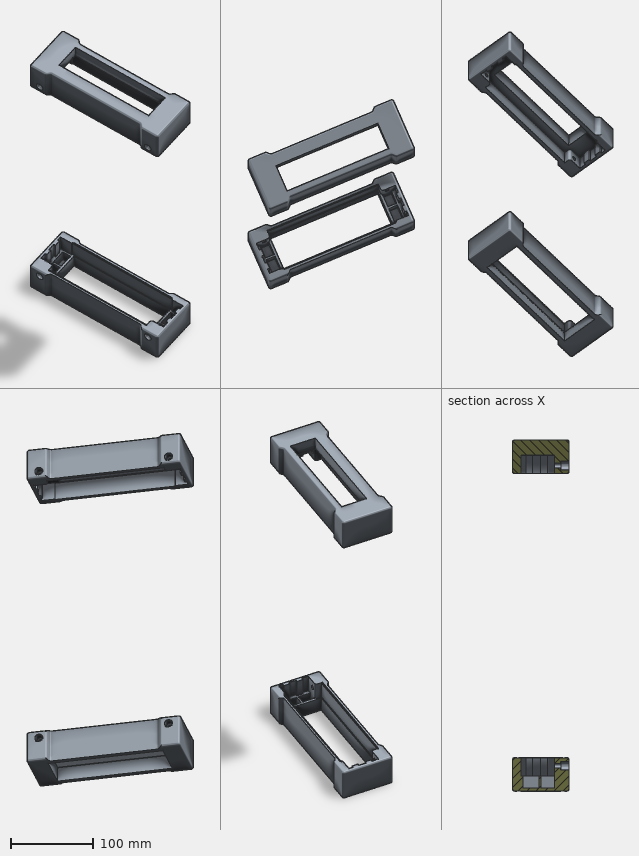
import cadquery as cq

LENGTH = 192.5
WIDTH = 69.0
HEIGHT = 41.0
TOTAL_HEIGHT = 427.5
COVER_Z = TOTAL_HEIGHT - HEIGHT
EDGE_RADIUS = 3.0

WAIST_SETBACK = 4.5
WAIST_HALF_LENGTH = 67.0
FLANK_RADIUS = 3.2

CAVITY_DEPTH = 22.2
CAVITY_HALF_LENGTH = 92.0
CAVITY_HALF_WIDTH = 25.0
CAVITY_MIDDLE_HALF_LENGTH = 75.0

BOSS_INNER_X = 73.5
BOSS_FRONT_Y = -16.5
BOSS_CORNER_RADIUS = 3.5
BACK_CORNER_Y = 24.0

RIB_THICKNESS = 2.5
RIB_WIDTH = 8.0
RIB_CENTERS_Y = (14.0, -4.0)

BASE_OPENING_LENGTH = 143.5
BASE_OPENING_WIDTH = 48.0
RABBET_WIDTH = 1.3
RABBET_DEPTH = 1.3

POCKET_INNER_X = 75.0
POCKET_OUTER_X = 86.7
POCKET_BACK_Y = 21.5
WEB_Y = 1.0
WEB_THICKNESS = 2.5
POCKET_DEPTH = 14.5

WINDOW_LENGTH = 134.5
WINDOW_WIDTH = 34.0
WINDOW_Y = 4.0
LIP_THICKNESS = 11.5
FLARE = 1.5

SCREW_X = 81.0
SCREW_EDGE_OFFSET = 10.0
SCREW_DIAMETER = 5.0
HEAD_DIAMETER = 10.0
HEAD_DEPTH = 10.0


def box_between(x_range, y_range, z_range):
    """Box spanning the given (low, high) ranges."""
    size = [high - low for low, high in (x_range, y_range, z_range)]
    return (
        cq.Workplane("XY")
        .box(*size, centered=False)
        .translate((x_range[0], y_range[0], z_range[0]))
    )


def waisted_prism():
    """Full-height prism with two wide ends, a narrow waist and rounded flank edges."""
    half_length = LENGTH / 2
    half_width = WIDTH / 2
    waist_y = half_width - WAIST_SETBACK
    end_x = WAIST_HALF_LENGTH + WAIST_SETBACK
    back = [
        (half_length, half_width),
        (end_x, half_width),
        (WAIST_HALF_LENGTH, waist_y),
        (-WAIST_HALF_LENGTH, waist_y),
        (-end_x, half_width),
        (-half_length, half_width),
    ]
    front = [(-x, -y) for x, y in back]
    prism = cq.Workplane("XY").polyline(back + front).close().extrude(HEIGHT)
    inside_x = (end_x + half_length) / 2
    flank_zone = cq.selectors.BoxSelector(
        (-inside_x, -WIDTH, 0), (inside_x, WIDTH, HEIGHT)
    )
    return prism.edges("|Z").edges(flank_zone).fillet(FLANK_RADIUS)


def rounded_block():
    """Block with every edge rounded."""
    block = cq.Workplane("XY").box(LENGTH, WIDTH, HEIGHT, centered=(True, True, False))
    return block.edges().fillet(EDGE_RADIUS)


def cavity(z_range):
    """Hollow of a frame, leaving the corner bosses and the end wall ribs solid."""
    middle = box_between(
        (-CAVITY_MIDDLE_HALF_LENGTH, CAVITY_MIDDLE_HALF_LENGTH),
        (-CAVITY_HALF_WIDTH, CAVITY_HALF_WIDTH),
        z_range,
    )
    ends = box_between(
        (-CAVITY_HALF_LENGTH, CAVITY_HALF_LENGTH), (-CAVITY_HALF_WIDTH, BACK_CORNER_Y), z_range
    )
    hollow = middle.union(ends)
    for side in (-1, 1):
        boss_x = sorted((side * BOSS_INNER_X, side * LENGTH / 2))
        boss = box_between(boss_x, (-WIDTH / 2, BOSS_FRONT_Y), z_range)
        boss = boss.edges("|Z and >Y").fillet(BOSS_CORNER_RADIUS)
        hollow = hollow.cut(boss)
        rib_x = sorted((side * (CAVITY_HALF_LENGTH - RIB_THICKNESS), side * LENGTH / 2))
        for y in RIB_CENTERS_Y:
            rib = box_between(rib_x, (y - RIB_WIDTH / 2, y + RIB_WIDTH / 2), z_range)
            hollow = hollow.cut(rib)
    return hollow


def screw_holes(z):
    """Counterbored holes running back from the front face, one near each end."""
    holes = cq.Workplane("XY")
    depth = WIDTH / 2 + BOSS_FRONT_Y
    for x in (-SCREW_X, SCREW_X):
        front = cq.Workplane("XZ", origin=(x, -WIDTH / 2, z))
        holes = holes.add(front.circle(SCREW_DIAMETER / 2).extrude(-depth))
        holes = holes.add(front.circle(HEAD_DIAMETER / 2).extrude(-HEAD_DEPTH))
    return holes.combine()


def end_pockets(floor_z):
    """Recesses below the cavity ledge, two at each end, parted by a web."""
    pockets = cq.Workplane("XY")
    y_ranges = (
        (WEB_Y + WEB_THICKNESS / 2, POCKET_BACK_Y),
        (BOSS_FRONT_Y, WEB_Y - WEB_THICKNESS / 2),
    )
    for side in (-1, 1):
        x_range = sorted((side * POCKET_INNER_X, side * POCKET_OUTER_X))
        for y_range in y_ranges:
            pockets = pockets.add(box_between(x_range, y_range, (floor_z - POCKET_DEPTH, floor_z)))
    return pockets.combine()


def make_base():
    """Lower frame, open at the top and with a wide opening through its floor."""
    floor_z = HEIGHT - CAVITY_DEPTH
    opening = cq.Workplane("XY").rect(BASE_OPENING_LENGTH, BASE_OPENING_WIDTH).extrude(HEIGHT)
    rabbet_y = CAVITY_HALF_WIDTH + RABBET_WIDTH
    rabbet = box_between(
        (-BOSS_INNER_X, BOSS_INNER_X), (-rabbet_y, rabbet_y), (HEIGHT - RABBET_DEPTH, HEIGHT)
    )
    body = waisted_prism().intersect(rounded_block())
    body = body.cut(cavity((floor_z, HEIGHT)))
    body = body.cut(opening).cut(rabbet).cut(end_pockets(floor_z))
    return body.cut(screw_holes(HEIGHT - SCREW_EDGE_OFFSET))


def cover_window(ceiling_z):
    """Straight window through the lip, widening below it down to the cavity ceiling."""
    profile = (WINDOW_LENGTH, WINDOW_WIDTH)
    flare_height = HEIGHT - LIP_THICKNESS - ceiling_z
    straight = cq.Workplane("XY", origin=(0, WINDOW_Y, ceiling_z)).rect(*profile).extrude(HEIGHT)
    flare = (
        cq.Workplane("XY", origin=(0, WINDOW_Y, ceiling_z))
        .rect(WINDOW_LENGTH + 2 * FLARE, WINDOW_WIDTH + 2 * FLARE)
        .workplane(offset=flare_height)
        .rect(*profile)
        .loft()
    )
    return straight.union(flare)


def make_cover():
    """Upper frame, open at the bottom, with a rounded top rim and a flared window."""
    body = waisted_prism().faces(">Z").edges().fillet(EDGE_RADIUS)
    body = body.intersect(rounded_block())
    body = body.cut(cavity((0, CAVITY_DEPTH)))
    body = body.cut(cover_window(CAVITY_DEPTH))
    return body.cut(screw_holes(SCREW_EDGE_OFFSET))


base = make_base()
cover = make_cover().translate((0, 0, COVER_Z))

result = cq.Compound.makeCompound([base.val(), cover.val()])